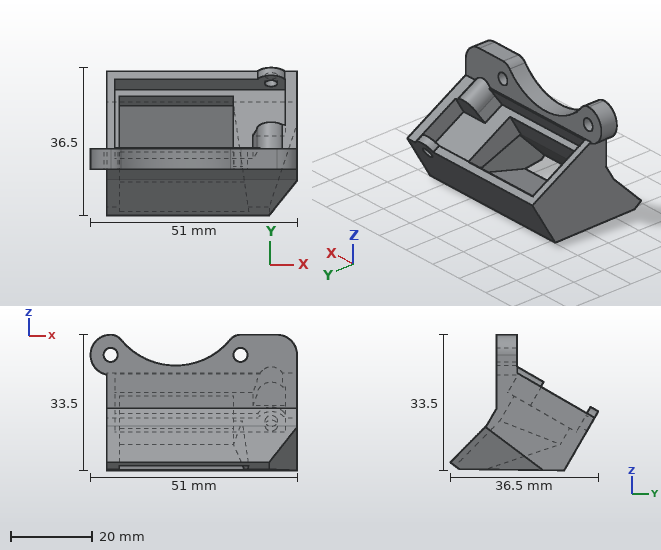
import cadquery as cq
import math


overall_width = 51.0

plate_thickness = 5.1
lug_radius = 5.0
hole_spacing = 32.05
mount_hole_diameter = 3.4
scoop_radius = 17.45
scoop_bottom_z = -2.6

body_left = -1.0
body_right = overall_width - lug_radius
tilt = math.radians(30)
back_edge_y = 24.2
back_edge_z = -15.5
box_depth = 15.05
box_length = 22.15
tip_y = -11.4
tip_z = -26.5
tip_heel_y = -9.2
tip_heel_z = -28.2
corner_cut_x = 39.05
corner_cut_start_y = -2.75

cutter_size = 61.2

pocket_left = 1.0
pocket_right = 43.05
back_wall = 2.25
pocket_end = 21.8
pocket_depth = 5.3

chute_left = 2.1
chute_right = 30.25
chute_start = 4.15
chute_end = 19.95
chute_depth = 9.9
chute_roof = 1.45
chute_exit_y = -3.05
mouth_right = 34.15

post_x = 39.6
post_axis_depth = 2.15
ear_radius = 4.0
ear_hole_diameter = 3.1
post_radius = 3.5
post_start = 15.3
post_end = 23.45
foot_half_width = 4.55


def tilted(length, depth):
    """Y and Z of a point given along the tilted top face and below it, from the back edge."""
    y = back_edge_y - length * math.cos(tilt) - depth * math.sin(tilt)
    z = back_edge_z + length * math.sin(tilt) - depth * math.cos(tilt)
    return (y, z)


def yz_prism(points, left, right):
    """Prism along X with a Y-Z outline."""
    return cq.Workplane("YZ").workplane(offset=left).polyline(points).close().extrude(right - left)


def tilted_box(left, right, start, end, top, bottom):
    """Box aligned with the tilted top face."""
    corners = [(start, top), (end, top), (end, bottom), (start, bottom)]
    return yz_prism([tilted(*corner) for corner in corners], left, right)


def across_tilt(start):
    """Workplane across the tilted top face; local Y is the height above that face."""
    y, z = tilted(start, 0)
    return cq.Workplane(cq.Plane(
        origin=(post_x, y, z),
        xDir=(1, 0, 0),
        normal=(0, -math.cos(tilt), math.sin(tilt)),
    ))


bottom_back = tilted(0, box_depth)
knee = tilted(box_length, box_depth)
bend_depth = (back_edge_y - box_length * math.cos(tilt)) / math.sin(tilt)
bend = tilted(box_length, bend_depth)
front_slope = (knee[1] - tip_z) / (knee[0] - tip_y)
shoulder_length = (back_edge_y - plate_thickness) / math.cos(tilt)
shoulder = tilted(shoulder_length, 0)


def body():
    """Solid body: a tilted box with a pointed foot in front of it."""
    outline = [
        (back_edge_y, back_edge_z),
        shoulder,
        (0, shoulder[1]),
        bend,
        knee,
        (tip_y, tip_z),
        (tip_heel_y, tip_heel_z),
        bottom_back,
    ]
    return yz_prism(outline, body_left, body_right)


def plate():
    """Mounting plate with a round lug on the left and a scoop between the holes."""
    scoop_x = hole_spacing / 2
    scoop_z = scoop_bottom_z + scoop_radius
    rise = scoop_z - lug_radius
    fillet = (scoop_x**2 + rise**2 - scoop_radius**2) / (2 * (scoop_radius - rise))
    fillet_z = lug_radius - fillet
    angle = math.atan2(scoop_z - fillet_z, scoop_x)
    tangent_x = fillet * math.cos(angle)
    tangent_z = fillet_z + fillet * math.sin(angle)
    mid_angle = (angle + math.pi / 2) / 2
    mid_x = fillet * math.cos(mid_angle)
    mid_z = fillet_z + fillet * math.sin(mid_angle)
    lug_foot_z = -math.sqrt(lug_radius**2 - body_left**2)
    diagonal = lug_radius * math.sqrt(0.5)

    outline = (
        cq.Workplane("XZ")
        .moveTo(body_left, bend[1])
        .lineTo(body_left, lug_foot_z)
        .threePointArc((-diagonal, diagonal), (0, lug_radius))
        .threePointArc((mid_x, mid_z), (tangent_x, tangent_z))
        .threePointArc((scoop_x, scoop_bottom_z), (hole_spacing - tangent_x, tangent_z))
        .threePointArc((hole_spacing - mid_x, mid_z), (hole_spacing, lug_radius))
        .lineTo(body_right - lug_radius, lug_radius)
        .threePointArc((body_right - lug_radius + diagonal, diagonal), (body_right, 0))
        .lineTo(body_right, bend[1])
        .close()
    )
    return outline.extrude(-plate_thickness)


def mounting_holes():
    return (
        cq.Workplane("XZ")
        .pushPoints([(0, 0), (hole_spacing, 0)])
        .circle(mount_hole_diameter / 2)
        .extrude(-plate_thickness)
    )


def corner_cut():
    """Block outside the plane that bevels the front right corner."""
    start_z = tip_z + front_slope * (corner_cut_start_y - tip_y)
    tip_corner = cq.Vector(corner_cut_x, tip_y, tip_z)
    along_tip = cq.Vector(0, tip_heel_y - tip_y, tip_heel_z - tip_z)
    along_front = cq.Vector(body_right, corner_cut_start_y, start_z) - tip_corner
    plane = cq.Plane(origin=tip_corner, xDir=along_tip, normal=along_tip.cross(along_front))
    return cq.Workplane(plane).rect(cutter_size, cutter_size).extrude(cutter_size)


def chute():
    """Passage from the pocket floor to the tip, flared on its right side towards the mouth."""
    back_top = tilted(chute_start, pocket_depth)
    back_bottom = tilted(chute_start, chute_depth)
    front_top = tilted(chute_end, pocket_depth)

    roof_z = tip_z - chute_roof / math.cos(math.atan(front_slope))
    gap_above_roof = front_top[1] - roof_z - front_slope * (front_top[0] - tip_y)
    roof_depth = gap_above_roof / (math.cos(tilt) - front_slope * math.sin(tilt))
    roof_top = tilted(chute_end, pocket_depth + roof_depth)
    roof_end = (tip_y, roof_z)

    bottom_slope = (bottom_back[1] - tip_heel_z) / (bottom_back[0] - tip_heel_y)
    exit_z = tip_heel_z + bottom_slope * (chute_exit_y - tip_heel_y)
    floor_slope = (back_bottom[1] - exit_z) / (back_bottom[0] - chute_exit_y)
    floor_end = (tip_y, exit_z + floor_slope * (tip_y - chute_exit_y))

    main = yz_prism(
        [back_top, front_top, roof_top, roof_end, floor_end, back_bottom],
        chute_left, chute_right,
    )
    flare_band = yz_prism([roof_top, roof_end, floor_end, back_bottom], chute_right, mouth_right)
    flare_plan = (
        cq.Workplane("XY")
        .polyline([(chute_right, back_bottom[0]), (mouth_right, tip_y), (chute_right, tip_y)])
        .close()
        .extrude(-cutter_size)
    )
    return main.union(flare_band.intersect(flare_plan))


def post():
    """Round post on a foot that joins the pocket floor and the right wall."""
    length = post_end - post_start
    foot_length = pocket_end - post_start
    right = pocket_right - post_x
    round_post = across_tilt(post_start).center(0, -post_axis_depth).circle(post_radius).extrude(length)
    foot = (
        across_tilt(post_start)
        .polyline([
            (0, 0),
            (right, 0),
            (right, -pocket_depth),
            (-foot_half_width, -pocket_depth),
            (-post_radius, -post_axis_depth),
            (0, -post_axis_depth),
        ])
        .close()
        .extrude(foot_length)
    )
    return round_post.union(foot)


def ear():
    """Round ear that rises above the back wall."""
    return across_tilt(0).center(0, -post_axis_depth).circle(ear_radius).extrude(back_wall)


def ear_hole():
    return across_tilt(0).center(0, -post_axis_depth).circle(ear_hole_diameter / 2).extrude(back_wall)


pocket = tilted_box(pocket_left, pocket_right, back_wall, pocket_end, 0, pocket_depth)

result = (
    body()
    .union(plate())
    .cut(corner_cut())
    .cut(pocket)
    .cut(chute())
    .union(post())
    .union(ear())
    .cut(ear_hole())
    .cut(mounting_holes())
)